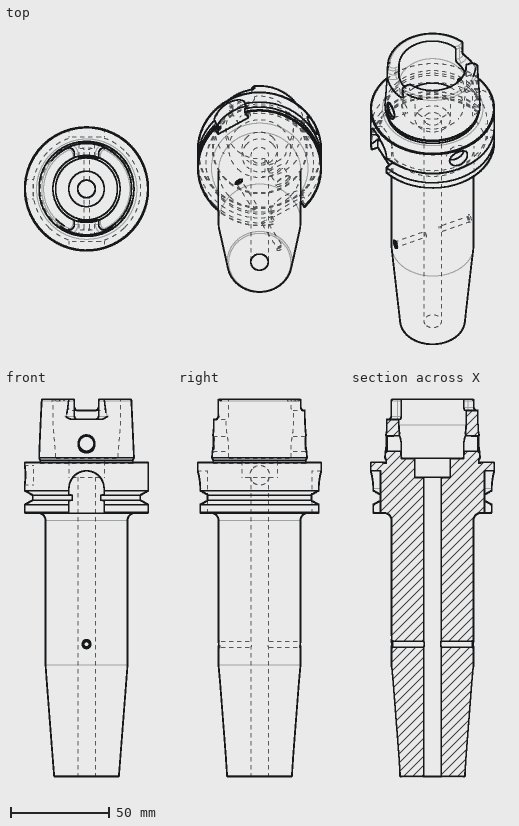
import cadquery as cq
import math


total_length = 191.9

shank_length = 32.0
shank_top_radius = 22.8
shank_base_radius = 24.2
shank_rim_fillet = 1.0

relief_top = 2.3
relief_bottom = -0.5
relief_radius = 23.6
relief_outer_radius = 25.5
relief_flank_height = 1.3

flange_radius = 31.5
flange_height = 26.0
flange_edge_chamfer = 0.4
groove_center = -18.0
groove_mouth_width = 7.1
groove_floor_radius = 27.5
groove_flank_angle = 30.0

body_radius = 21.0
neck_fillet = 3.6
nose_length = 56.8
nose_radius = 16.5
nose_edge_fillet = 0.8

upper_bore_radius = 17.0
upper_bore_depth = 13.0
lower_bore_radius = 15.7
bore_depth = 30.1
socket_radius = 9.0
socket_depth = 9.5
through_bore_radius = 4.5

drive_slot_width = 12.3
front_drive_slot_depth = 10.4
rear_drive_slot_depth = 5.8
drive_tip_radius = 3.0
drive_tip_reach = 23.2
drive_slot_floor_fillet = 1.7

keyway_width = 17.8
keyway_top = -4.5
keyway_floor = 26.5

countersink_width = 0.8
shank_hole_diameter = 7.7
shank_hole_height = 9.4
data_hole_diameter = 10.0
data_hole_height = -6.5
data_hole_depth = 4.5
body_hole_diameter = 2.9
body_hole_height = -92.5

cutter_margin = 2.0
edge_tolerance = 0.2

nose_end = shank_length - total_length
nose_start = nose_end + nose_length
bore_floor = shank_length - bore_depth
groove_depth = flange_radius - groove_floor_radius
groove_flank_height = groove_depth * math.tan(math.radians(groove_flank_angle))
groove_mouth_top = groove_center + groove_mouth_width / 2
groove_mouth_bottom = groove_center - groove_mouth_width / 2
shank_slope = (shank_base_radius - shank_top_radius) / (shank_length - relief_top)
shank_hole_wall_radius = shank_base_radius - shank_slope * (shank_hole_height - relief_top)


def revolve_outline(outline):
    """Close an outline and turn it about the second axis of its workplane."""
    return outline.close().revolve(360, (0, 0), (0, 1))


def turned_body():
    cove_drop = neck_fillet * math.sin(math.radians(45))
    cove_center_radius = body_radius + neck_fillet
    cove_center_height = -flange_height - neck_fillet
    outline = (
        cq.Workplane("XZ")
        .moveTo(0, shank_length)
        .lineTo(shank_top_radius, shank_length)
        .lineTo(shank_base_radius, relief_top)
        .lineTo(relief_radius, relief_top - relief_flank_height)
        .lineTo(relief_radius, relief_bottom)
        .lineTo(relief_outer_radius, 0)
        .lineTo(flange_radius - flange_edge_chamfer, 0)
        .lineTo(flange_radius, -flange_edge_chamfer)
        .lineTo(flange_radius, groove_mouth_top)
        .lineTo(groove_floor_radius, groove_mouth_top - groove_flank_height)
        .lineTo(groove_floor_radius, groove_mouth_bottom + groove_flank_height)
        .lineTo(flange_radius, groove_mouth_bottom)
        .lineTo(flange_radius, -flange_height + flange_edge_chamfer)
        .lineTo(flange_radius - flange_edge_chamfer, -flange_height)
        .lineTo(cove_center_radius, -flange_height)
        .threePointArc(
            (cove_center_radius - cove_drop, cove_center_height + cove_drop),
            (body_radius, cove_center_height),
        )
        .lineTo(body_radius, nose_start)
        .lineTo(nose_radius, nose_end)
        .lineTo(0, nose_end)
    )
    body = revolve_outline(outline)
    body = body.faces(">Z").edges().fillet(shank_rim_fillet)
    return body.faces("<Z").edges().fillet(nose_edge_fillet)


def axial_bores():
    outline = (
        cq.Workplane("XZ")
        .moveTo(0, shank_length)
        .lineTo(upper_bore_radius, shank_length)
        .lineTo(upper_bore_radius, shank_length - upper_bore_depth)
        .lineTo(lower_bore_radius, bore_floor)
        .lineTo(socket_radius, bore_floor)
        .lineTo(socket_radius, bore_floor - socket_depth)
        .lineTo(through_bore_radius, bore_floor - socket_depth)
        .lineTo(through_bore_radius, nose_end)
        .lineTo(0, nose_end)
    )
    return revolve_outline(outline)


def drive_slot(depth):
    """Slot through the -Y shank wall, with the wall ends rounded towards the outside."""
    half_width = drive_slot_width / 2
    tip_x = half_width + drive_tip_radius
    tip_center_distance = drive_tip_reach - drive_tip_radius
    tip_y = -math.sqrt(tip_center_distance**2 - tip_x**2)
    end_angle = math.atan2(tip_y, tip_x)
    mid_angle = (end_angle - math.pi) / 2

    def tip_point(angle, side):
        x = tip_x + drive_tip_radius * math.cos(angle)
        return side * x, tip_y + drive_tip_radius * math.sin(angle)

    end_x, end_y = tip_point(end_angle, 1)
    runout = shank_base_radius / 2
    runout_x = end_x - runout * math.sin(end_angle)
    runout_y = end_y + runout * math.cos(end_angle)
    outer_y = -flange_radius
    cutter = (
        cq.Workplane("XY", origin=(0, 0, shank_length - depth))
        .moveTo(-half_width, 0)
        .lineTo(-half_width, tip_y)
        .threePointArc(tip_point(mid_angle, -1), tip_point(end_angle, -1))
        .lineTo(-runout_x, runout_y)
        .lineTo(-runout_x, outer_y)
        .lineTo(runout_x, outer_y)
        .lineTo(runout_x, runout_y)
        .lineTo(end_x, end_y)
        .threePointArc(tip_point(mid_angle, 1), (half_width, tip_y))
        .lineTo(half_width, 0)
        .close()
        .extrude(depth)
    )
    cutter = cutter.faces("<Z").edges().fillet(drive_slot_floor_fillet)

    plate_half = flange_radius + 2 * cutter_margin
    plate = (
        cq.Workplane("XY", origin=(0, 0, shank_length))
        .rect(2 * plate_half, 2 * plate_half)
        .extrude(cutter_margin)
    )
    slot_reach = flange_radius + cutter_margin
    slot_edges_at_rim = cq.selectors.BoxSelector(
        (-slot_reach, -slot_reach, shank_length - edge_tolerance),
        (slot_reach, slot_reach, shank_length + edge_tolerance),
    )
    return cutter.union(plate).edges(slot_edges_at_rim).fillet(shank_rim_fillet)


def keyway():
    """Flat-floored keyway with a round upper end, open at the flange underside on the -Y side."""
    half_width = keyway_width / 2
    arch_center = keyway_top - half_width
    return (
        cq.Workplane("XZ", origin=(0, -keyway_floor, 0))
        .moveTo(-half_width, -flange_height)
        .lineTo(-half_width, arch_center)
        .threePointArc((0, keyway_top), (half_width, arch_center))
        .lineTo(half_width, -flange_height)
        .close()
        .extrude(flange_radius - keyway_floor)
    )


def cross_hole(diameter, height, wall_radius):
    """Hole along Y through both sides, countersunk where it breaks through the outer wall."""
    radius = diameter / 2
    sunk_radius = radius + countersink_width
    outline = (
        cq.Workplane("XY", origin=(0, 0, height))
        .moveTo(0, flange_radius)
        .lineTo(sunk_radius, flange_radius)
        .lineTo(sunk_radius, wall_radius)
        .lineTo(radius, wall_radius - countersink_width)
        .lineTo(radius, countersink_width - wall_radius)
        .lineTo(sunk_radius, -wall_radius)
        .lineTo(sunk_radius, -flange_radius)
        .lineTo(0, -flange_radius)
    )
    return revolve_outline(outline)


def data_carrier_hole():
    return (
        cq.Workplane("YZ", origin=(-flange_radius, 0, data_hole_height))
        .circle(data_hole_diameter / 2)
        .extrude(data_hole_depth)
    )


def on_rear(cutter):
    """Turn a cutter from the -Y side to the +Y side."""
    return cutter.rotate((0, 0, 0), (0, 0, 1), 180)


result = turned_body().cut(axial_bores())
result = result.cut(drive_slot(front_drive_slot_depth))
result = result.cut(on_rear(drive_slot(rear_drive_slot_depth)))
result = result.cut(keyway()).cut(on_rear(keyway()))
result = result.cut(cross_hole(shank_hole_diameter, shank_hole_height, shank_hole_wall_radius))
result = result.cut(cross_hole(body_hole_diameter, body_hole_height, body_radius))
result = result.cut(data_carrier_hole())